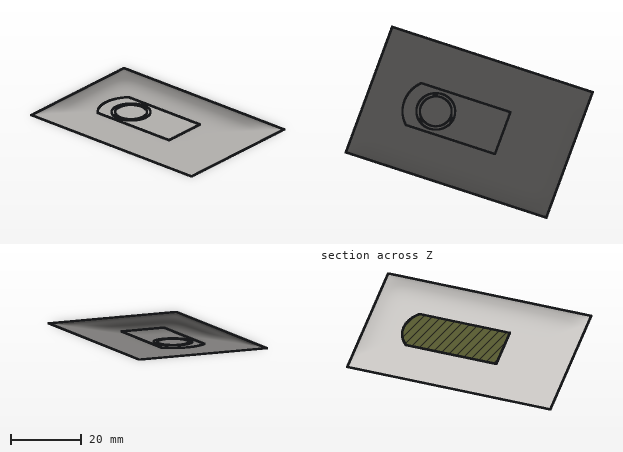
import cadquery as cq
import math

sheet_length = 60.0
sheet_width = 40.0
sheet_thickness = 0.01
total_thickness = 0.1

pad_half_width = sheet_width / 6
pad_end_x = sheet_length / 6
round_center_x = -pad_end_x
pad_round_radius = pad_half_width * math.sqrt(2)

ring_outer_radius = 5.5
ring_inner_radius = 4.5
ring_depth = sheet_thickness / 2

island_count = 3
island_start_angle = 4.0
island_center_radius = (ring_outer_radius + ring_inner_radius) / 2
island_base_width = 0.34
island_base_offset = -0.1
island_tip_offset = 1.0


def make_sheet():
    return cq.Workplane("XY").box(
        sheet_length, sheet_width, sheet_thickness, centered=(True, True, False)
    )


def make_pad():
    """Strip whose -X end is a quarter-circle arc about the ring centre."""
    arc_end_x = round_center_x - pad_half_width
    arc_middle = (round_center_x - pad_round_radius, 0)
    return (
        cq.Workplane("XY")
        .moveTo(pad_end_x, -pad_half_width)
        .lineTo(pad_end_x, pad_half_width)
        .lineTo(arc_end_x, pad_half_width)
        .threePointArc(arc_middle, (arc_end_x, -pad_half_width))
        .close()
        .extrude(total_thickness)
    )


def make_island(angle):
    """Narrow triangle on the groove's middle circle, turned about the ring centre."""
    half_base = island_base_width / 2
    return (
        cq.Workplane("XY")
        .moveTo(island_center_radius - half_base, island_base_offset)
        .lineTo(island_center_radius + half_base, island_base_offset)
        .lineTo(island_center_radius, island_tip_offset)
        .close()
        .extrude(ring_depth)
        .rotate((0, 0, 0), (0, 0, 1), angle)
    )


def make_ring_groove():
    """Cutting volume of the groove, with the islands left out of it."""
    groove = cq.Workplane("XY").circle(ring_outer_radius).circle(ring_inner_radius).extrude(ring_depth)
    for index in range(island_count):
        groove = groove.cut(make_island(island_start_angle + index * 360 / island_count))
    return groove.translate((round_center_x, 0, 0))


result = make_sheet().union(make_pad()).cut(make_ring_groove())